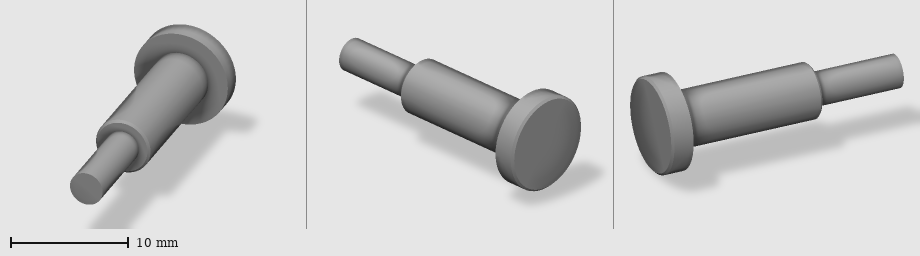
import cadquery as cq

total_length = 23.0

head_diameter = 8.6
head_thickness = 2.0
shank_diameter = 5.0
pin_diameter = 3.0
pin_length = 8.0
edge_chamfer = 0.2

shank_length = total_length - head_thickness - pin_length


def cylinder_along_y(diameter, start_y, length):
    """Solid cylinder on the Y axis, running from start_y toward +Y."""
    base = cq.Workplane("XZ", origin=(0, start_y, 0))
    return base.circle(diameter / 2).extrude(-length)


pin_start = -total_length / 2
shank_start = pin_start + pin_length
head_start = shank_start + shank_length

pin = cylinder_along_y(pin_diameter, pin_start, pin_length)

shank = cylinder_along_y(shank_diameter, shank_start, shank_length)
shank = shank.faces("<Y").edges().chamfer(edge_chamfer)

head = cylinder_along_y(head_diameter, head_start, head_thickness)
head = head.faces(">Y").edges().chamfer(edge_chamfer)

result = pin.union(shank).union(head)